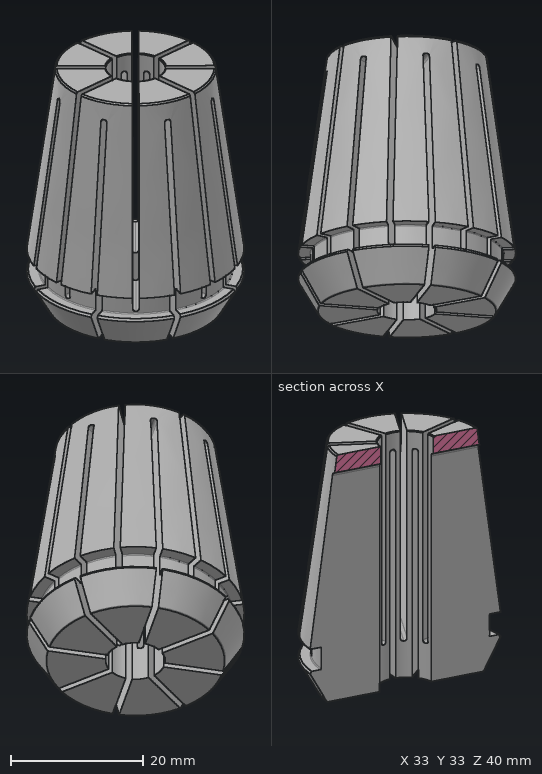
import cadquery as cq
import math

total_height = 40.0
max_radius = 16.5
bore_radius = 4.5

nose_half_angle = 30.0
nose_cone_height = 5.1
rim_top_z = 5.5
rim_chamfer_width = 0.25
nose_edge_break = 0.15
nose_bottom_radius = max_radius - nose_cone_height * math.tan(math.radians(nose_half_angle))

groove_radius = 14.6
groove_top_z = 9.1
groove_fillet_radius = 0.15

taper_half_angle = 8.0
top_edge_break = 0.25
bore_edge_break = 0.15
taper_top_radius = max_radius - (total_height - groove_top_z) * math.tan(math.radians(taper_half_angle))

slot_width = 1.0
slot_corner_radius = 0.49
slots_per_end = 8
slot_pitch_angle = 360.0 / slots_per_end
lower_slot_end_z = 37.1
upper_slot_end_z = 5.9
cut_clearance = 1.0


def collet_body():
    """Revolved collet with its filleted groove, bore and small edge breaks."""
    nose_break_radius = nose_bottom_radius + nose_edge_break * math.tan(math.radians(nose_half_angle))
    shoulder_radius = taper_top_radius + top_edge_break * math.tan(math.radians(taper_half_angle))
    profile = (
        cq.Workplane("XZ")
        .moveTo(bore_radius, 0)
        .lineTo(nose_break_radius - nose_edge_break, 0)
        .lineTo(nose_break_radius, nose_edge_break)
        .lineTo(max_radius, nose_cone_height)
        .lineTo(max_radius - rim_chamfer_width, rim_top_z)
        .lineTo(groove_radius + groove_fillet_radius, rim_top_z)
        .radiusArc((groove_radius, rim_top_z + groove_fillet_radius), groove_fillet_radius)
        .lineTo(groove_radius, groove_top_z - groove_fillet_radius)
        .radiusArc((groove_radius + groove_fillet_radius, groove_top_z), groove_fillet_radius)
        .lineTo(max_radius, groove_top_z)
        .lineTo(shoulder_radius, total_height - top_edge_break)
        .lineTo(shoulder_radius - top_edge_break, total_height)
        .lineTo(bore_radius + bore_edge_break, total_height)
        .lineTo(bore_radius, total_height - bore_edge_break)
        .close()
    )
    return profile.revolve(360, (0, 0, 0), (0, 1, 0))


def radial_slot(open_z, end_z, angle):
    """Cutter running outward from the axis, from open_z to an end at end_z with rounded corners."""
    start_z = open_z - math.copysign(cut_clearance, end_z - open_z)
    length = max_radius + cut_clearance
    cutter = (
        cq.Workplane("XY")
        .box(length, slot_width, abs(end_z - start_z), centered=(False, True, False))
        .translate((0, 0, min(start_z, end_z)))
    )
    end_face = ">Z" if end_z > open_z else "<Z"
    cutter = cutter.faces(end_face).edges("|X").fillet(slot_corner_radius)
    return cutter.rotate((0, 0, 0), (0, 0, 1), angle)


result = collet_body()
for index in range(slots_per_end):
    lower_angle = index * slot_pitch_angle
    upper_angle = lower_angle + slot_pitch_angle / 2
    result = result.cut(radial_slot(0, lower_slot_end_z, lower_angle))
    result = result.cut(radial_slot(total_height, upper_slot_end_z, upper_angle))